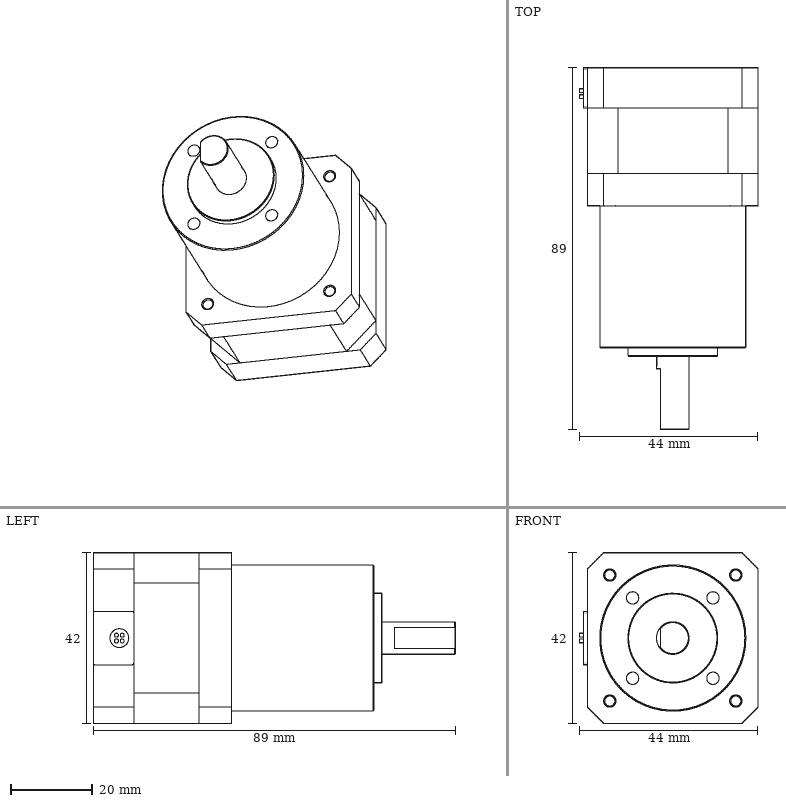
import cadquery as cq
import math


side = 42.0
end_chamfer = 4.0
stator_chamfer = 7.5
cap_length = 10.0
stator_length = 16.0
flange_length = 8.0

gearbox_radius = 18.0
gearbox_length = 35.0
gearbox_edge = 0.3
pilot_radius = 11.0
pilot_length = 2.05
pilot_edge = 0.2
gearbox_hole_diameter = 3.0
gearbox_hole_depth = 6.0
gearbox_hole_spacing = 19.8

shaft_radius = 4.0
shaft_length = 18.0
shaft_edge = 0.2
flat_distance = 3.0
round_length = 3.0

flange_hole_diameter = 2.5
flange_hole_mouth = 3.0
flange_hole_depth = 5.3
flange_hole_spacing = 31.0
drill_point_angle = 118

plate_height = 13.2
plate_thickness = 1.0
plate_corner = 0.45
outlet_diameter = 4.6
outlet_from_rear = 6.4
wire_diameter = 1.0
wire_spacing = 1.4
wire_protrusion = 1.0

flange_front = 0
flange_rear = flange_front + flange_length
stator_rear = flange_rear + stator_length
cap_rear = stator_rear + cap_length
gearbox_front = flange_front - gearbox_length
pilot_front = gearbox_front - pilot_length
shaft_front = pilot_front - shaft_length
flat_start = pilot_front - round_length

side_face = -side / 2
outlet_y = cap_rear - outlet_from_rear


def plane_at(y):
    """Plane across the motor axis whose normal points toward -Y."""
    return cq.Workplane("XZ", origin=(0, y, 0))


def square_section(front, length, chamfer):
    """Square block with chamfered corners, from front toward +Y."""
    block = plane_at(front).rect(side, side).extrude(-length)
    return block.edges("|Y").chamfer(chamfer)


def outlet_plane():
    """Plane on the -X side face, centred on the cable outlet, whose normal points toward -X."""
    return cq.Workplane(cq.Plane(origin=(side_face, outlet_y, 0), xDir=(0, -1, 0), normal=(-1, 0, 0)))


def make_plate():
    """Thin plate with rounded corners and a round opening for the wires."""
    plate = cq.Workplane("XY").box(plate_thickness, cap_length, plate_height)
    plate = plate.edges("|X").fillet(plate_corner)
    plate = plate.translate((side_face - plate_thickness / 2, cap_rear - cap_length / 2, 0))
    opening = outlet_plane().circle(outlet_diameter / 2).extrude(plate_thickness)
    return plate.cut(opening)


def make_wires():
    """Four wire stubs that rise from the side face through the plate opening."""
    centers = outlet_plane().rect(wire_spacing, wire_spacing, forConstruction=True).vertices()
    return centers.circle(wire_diameter / 2).extrude(plate_thickness + wire_protrusion)


def make_cap():
    """Rear cap of the motor with its outlet plate and wire stubs."""
    cap = square_section(stator_rear, cap_length, end_chamfer)
    return cap.union(make_plate()).union(make_wires())


def make_stator():
    """Middle section with wide corner chamfers."""
    return square_section(flange_rear, stator_length, stator_chamfer)


def make_screw_hole():
    """Blind drilled hole along Y with a conical bottom and a chamfered mouth, at the flange centre."""
    radius = flange_hole_diameter / 2
    mouth_radius = flange_hole_mouth / 2
    mouth_depth = mouth_radius - radius
    tip_depth = flange_hole_depth + radius / math.tan(math.radians(drill_point_angle / 2))
    profile = cq.Workplane("XY", origin=(0, flange_front, 0)).polyline(
        [(0, 0), (mouth_radius, 0), (radius, mouth_depth), (radius, flange_hole_depth), (0, tip_depth)]
    )
    return profile.close().revolve(360, (0, 0), (0, 1))


def make_flange():
    """Front section with four screw holes outside the gearbox."""
    flange = square_section(flange_front, flange_length, end_chamfer)
    screw_hole = make_screw_hole()
    offset = flange_hole_spacing / 2
    for x in (-offset, offset):
        for z in (-offset, offset):
            flange = flange.cut(screw_hole.translate((x, 0, z)))
    return flange


def make_gearbox():
    """Round gearbox with a centring pilot and four blind mounting holes."""
    body = plane_at(flange_front).circle(gearbox_radius).extrude(gearbox_length)
    body = body.faces("<Y").edges().chamfer(gearbox_edge)
    pilot = plane_at(gearbox_front).circle(pilot_radius).extrude(pilot_length)
    pilot = pilot.faces("<Y").edges().chamfer(pilot_edge)
    holes = (
        plane_at(gearbox_front)
        .rect(gearbox_hole_spacing, gearbox_hole_spacing, forConstruction=True)
        .vertices()
        .circle(gearbox_hole_diameter / 2)
        .extrude(-gearbox_hole_depth)
    )
    return body.union(pilot).cut(holes)


def make_shaft():
    """Output shaft with a flat on its -X side."""
    shaft = plane_at(pilot_front).circle(shaft_radius).extrude(shaft_length)
    shaft = shaft.faces("<Y").edges().chamfer(shaft_edge)
    flat = cq.Workplane("XY").box(shaft_radius, flat_start - shaft_front, 2 * shaft_radius)
    flat = flat.translate((-flat_distance - shaft_radius / 2, (flat_start + shaft_front) / 2, 0))
    return shaft.cut(flat)


rear_cap = make_cap()
stator = make_stator()
flange = make_flange()
gearbox = make_gearbox()
shaft = make_shaft()

result = cq.Compound.makeCompound(
    [rear_cap.val(), stator.val(), flange.val(), gearbox.val(), shaft.val()]
)